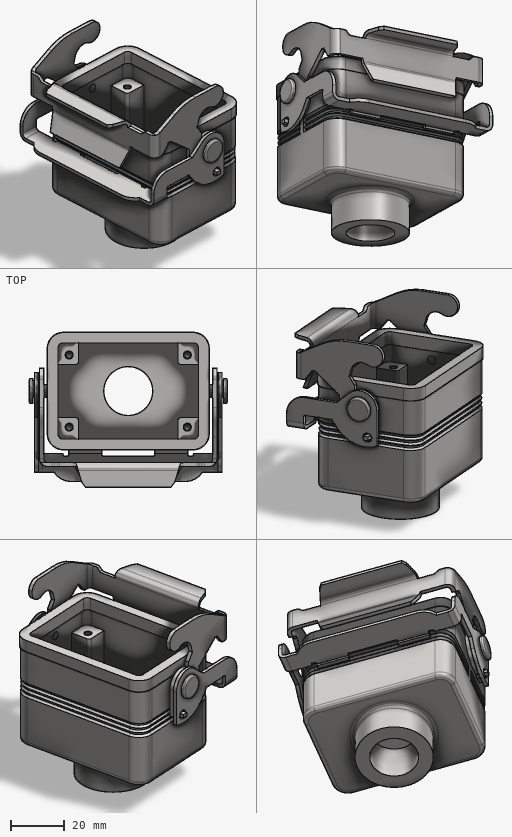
import cadquery as cq
import math


body_width = 60.1
body_depth = 43.5
body_corner_radius = 6.1
body_bottom = 13.0
body_top = 58.55
bottom_edge_radius = 1.9
rim_height = 5.0
rim_overhang = 0.2

groove_top = 40.0
groove_pitch = 2.0
groove_count = 3
groove_floor = 0.7
groove_depth = 1.05
ridge_inset = 0.15
groove_web_width = 2.8

mouth_width = 52.45
mouth_depth = 35.9
mouth_corner_radius = 1.85
mouth_height = 5.15
cavity_undercut = 0.8
floor_thickness = 3.0

neck_radius = 14.6
neck_fillet = 1.9
entry_radius = 9.1

post_top = 46.35
post_inner_x = 18.55
post_inner_y = 9.9
post_corner_radius = 1.2
screw_x = 22.05
screw_y = 13.5
screw_radius = 1.3
screw_depth = 8.95
screw_countersink = 0.2

pivot_z = 49.55
pin_radius = 2.45
pin_tail_radius = 1.65
head_radius = 4.7
head_thickness = 1.4
head_edge_radius = 0.7
lever_width = 74.0

sheet = 1.4
bend_outer_radius = 2.9
bend_inner_radius = bend_outer_radius - sheet

latch_outer_x = 33.15
latch_side_thickness = 1.65
latch_inner_x = latch_outer_x - latch_side_thickness
latch_front_y = -28.15
latch_back_y = latch_front_y + sheet
latch_crest = 74.5
latch_front_top = 66.75
latch_front_dip = 65.0
latch_front_bottom = 56.85
dip_half_width = 26.15
dip_top_half_width = 27.95
dip_corner_radius = 1.1

hook_radius = 4.25
hook_y = 4.3
hook_z = latch_crest - hook_radius
notch_radius = 4.8
notch_z = hook_z - math.sqrt((hook_radius + notch_radius) ** 2 - hook_y**2)
notch_exit_angle = math.radians(19)
heel_y = -5.4
heel_z = 60.9
heel_foot_z = 57.7
crest_end_y = -6.2
crest_radius = 23.2
crest_fall_angle = math.radians(28.5)
crest_foot_z = 67.4
throat_front_y = -23.8
throat_top_front_y = -20.6
throat_top_back_y = -19.45
throat_top_z = 60.9
throat_back_z = 52.9
lobe_radius = 9.4
lobe_centre_z = 47.5
lobe_back_radius = 6.3
lobe_back_edge_y = -3.05

tab_top = 68.1
tab_end_y = -36.0
tab_bend_radius = 3.0
tab_root_half_width = 19.6
tab_shoulder_half_width = 17.3
tab_shoulder_y = -34.2
tab_end_half_width = 15.95
grip_root_half_width = 20.5
grip_foot_half_width = 17.95
grip_corner_radius = 1.5
grip_kink_z = 54.9
grip_bottom_z = 47.4
grip_angle = math.radians(25.5)

bracket_outer_x = 35.0
bracket_inner_x = bracket_outer_x - sheet
bracket_head_radius = 7.0
arm_top = 50.4
arm_bottom = 43.5
arm_root_y = -9.8
arm_underside_root_y = -11.7
arm_front_y = -30.4
arm_back_y = -23.25
arm_knee_radius = 7.3
arm_crotch_radius = 0.6
skirt_front_y = -8.9
skirt_front_z = 39.7
skirt_lowest_y = 1.1
skirt_lowest_z = 34.8
skirt_back_z = 35.7
flange_bottom = 37.3
flange_top = flange_bottom + sheet
flange_lip_y = -33.8
lip_root_half_width = 27.65
lip_front_half_width = 21.15
lip_bulge_half_width = 24.8
lip_bulge_y = -32.9
flange_notch_depth = 1.05
catch_inner_x = 9.8
catch_outer_x = 22.3
catch_notch_width = 2.0
catch_tip_y = -21.8
catch_bottom = 36.35
catch_tip_top = 37.4

peg_y = 3.05
peg_z = 38.5
peg_width = 1.9
peg_height = 1.6
peg_end_x = 36.2
peg_hole_radius = 1.8


def centred_block(width, depth, bottom, top, corner_radius):
    """Upright block around the Z axis with rounded vertical edges."""
    block = cq.Workplane("XY").workplane(offset=bottom).rect(width, depth).extrude(top - bottom)
    return block.edges("|Z").fillet(corner_radius)


def body_section(z, inset):
    """Body outline at height z, moved inwards by inset."""
    width = body_width - 2 * inset
    depth = body_depth - 2 * inset
    sketch = cq.Sketch().rect(width, depth).vertices().fillet(body_corner_radius - inset)
    return sketch.moved(cq.Location(cq.Vector(0, 0, z)))


def x_cylinder(radius, start_x, end_x, y, z):
    """Round bar along X."""
    return cq.Workplane("YZ", origin=(start_x, y, z)).circle(radius).extrude(end_x - start_x)


def mirrored_pair(shape):
    """Shape together with its mirror image in the YZ plane."""
    return shape.union(shape.mirror("YZ"))


def box_between(x0, x1, y0, y1, z0, z1):
    """Box between two limits on each axis."""
    return cq.Workplane("XY", origin=(x0, y0, z0)).box(x1 - x0, y1 - y0, z1 - z0, centered=False)


def tapered_prism(plane, right_side, origin, height):
    """Prism whose outline is the given right side and its mirror image."""
    left_side = [(-x, v) for x, v in reversed(right_side)]
    return cq.Workplane(plane, origin=origin).polyline(right_side + left_side).close().extrude(height)


def grooved_band():
    """Rounded ring of stacked V grooves, with a plain web across them on each X side."""
    flank = (groove_pitch - groove_floor) / 2
    levels = []
    for i in range(groove_count):
        top = groove_top - i * groove_pitch
        upper_inset = 0 if i == 0 else ridge_inset
        lower_inset = 0 if i == groove_count - 1 else ridge_inset
        levels.append((top, upper_inset, top - flank, groove_depth))
        levels.append((top - flank, groove_depth, top - flank - groove_floor, groove_depth))
        levels.append((top - flank - groove_floor, groove_depth, top - groove_pitch, lower_inset))
    band = cq.Workplane("XY")
    for z_high, inset_high, z_low, inset_low in levels:
        low = body_section(z_low, inset_low)
        high = body_section(z_high, inset_high)
        band = band.union(cq.Workplane("XY").placeSketch(low, high).loft(ruled=True))
    half = body_width / 2
    web_half = groove_web_width / 2
    web = box_between(-half, half, -web_half, web_half, groove_top - groove_count * groove_pitch, groove_top)
    return band.union(web)


def neck():
    """Cable-entry neck that flares into the bottom of the body."""
    flare_start = body_bottom - neck_fillet
    flare_radius = neck_radius + neck_fillet
    mid = neck_fillet * (1 - math.sqrt(0.5))
    return (
        cq.Workplane("XZ")
        .moveTo(0, 0)
        .lineTo(neck_radius, 0)
        .lineTo(neck_radius, flare_start)
        .threePointArc((neck_radius + mid, body_bottom - mid), (flare_radius, body_bottom))
        .lineTo(0, body_bottom)
        .close()
        .revolve(360, (0, 0, 0), (0, 1, 0))
    )


def cavity():
    """Mouth through the rim, a wider chamber below it, less the four corner posts."""
    mouth_bottom = body_top - mouth_height
    floor_z = body_bottom + floor_thickness
    mouth = centred_block(mouth_width, mouth_depth, mouth_bottom, body_top, mouth_corner_radius)
    chamber = centred_block(
        mouth_width + 2 * cavity_undercut,
        mouth_depth + 2 * cavity_undercut,
        floor_z,
        mouth_bottom,
        mouth_corner_radius + cavity_undercut,
    )
    hollow = mouth.union(chamber)
    for side_x in (-1, 1):
        for side_y in (-1, 1):
            hollow = hollow.cut(corner_post(side_x, side_y, floor_z))
    return hollow


def corner_post(side_x, side_y, floor_z):
    """Post that stands in one corner of the chamber."""
    width = body_width / 2 - post_inner_x
    depth = body_depth / 2 - post_inner_y
    centre = (side_x * (post_inner_x + width / 2), side_y * (post_inner_y + depth / 2), floor_z)
    post = cq.Workplane("XY", origin=centre).rect(width, depth).extrude(post_top - floor_z)
    return post.edges("|Z").fillet(post_corner_radius)


def screw_holes():
    """Blind pointed holes down the posts, with a small countersink."""
    lip = screw_radius + screw_countersink
    points = [(side_x * screw_x, side_y * screw_y) for side_x in (-1, 1) for side_y in (-1, 1)]
    drill = (
        cq.Workplane("XZ")
        .polyline(
            [
                (0, 0),
                (lip, 0),
                (screw_radius, -screw_countersink),
                (screw_radius, -screw_depth),
                (0, -screw_depth - screw_radius),
            ]
        )
        .close()
        .revolve(360, (0, 0, 0), (0, 1, 0))
    )
    holes = cq.Workplane("XY")
    for x, y in points:
        holes = holes.union(drill.translate((x, y, post_top)))
    return holes


def make_housing():
    """Hollow grooved body with its rim, posts and cable-entry neck."""
    groove_bottom = groove_top - groove_count * groove_pitch
    lower = centred_block(body_width, body_depth, body_bottom, groove_bottom, body_corner_radius)
    lower = lower.faces("<Z").edges().fillet(bottom_edge_radius)
    upper = centred_block(body_width, body_depth, groove_top, body_top, body_corner_radius)
    rim = centred_block(
        body_width + 2 * rim_overhang,
        body_depth + 2 * rim_overhang,
        body_top - rim_height,
        body_top,
        body_corner_radius,
    )
    shell = lower.union(grooved_band()).union(upper).union(rim).union(neck())
    entry = cq.Workplane("XY").circle(entry_radius).extrude(body_top)
    pin_holes = x_cylinder(pin_tail_radius, -body_width / 2, body_width / 2, 0, pivot_z)
    return shell.cut(cavity()).cut(screw_holes()).cut(entry).cut(pin_holes)


def latch_side_outline():
    """Side outline of the latch, extruded across the whole width."""
    hook_to_notch = math.atan2(notch_z - hook_z, -hook_y)
    join_y = hook_y + hook_radius * math.cos(hook_to_notch)
    join_z = hook_z + hook_radius * math.sin(hook_to_notch)
    notch_exit = (
        -notch_radius * math.cos(notch_exit_angle),
        notch_z + notch_radius * math.sin(notch_exit_angle),
    )
    fall_y = crest_end_y - crest_radius * math.sin(crest_fall_angle)
    fall_z = latch_crest - crest_radius * (1 - math.cos(crest_fall_angle))
    half_fall = crest_fall_angle / 2
    crest_mid = (
        crest_end_y - crest_radius * math.sin(half_fall),
        latch_crest - crest_radius * (1 - math.cos(half_fall)),
    )
    lobe_diagonal = lobe_radius * math.sqrt(0.5)
    back_meet_z = pivot_z + math.sqrt(lobe_back_radius**2 - lobe_back_edge_y**2)
    back_diagonal = lobe_back_radius * math.sqrt(0.5)
    return (
        cq.Workplane("YZ", origin=(-latch_outer_x, 0, 0))
        .moveTo(hook_y, latch_crest)
        .lineTo(crest_end_y, latch_crest)
        .threePointArc(crest_mid, (fall_y, fall_z))
        .lineTo(latch_front_y + bend_outer_radius, crest_foot_z)
        .lineTo(latch_back_y, latch_front_top)
        .lineTo(latch_front_y, latch_front_top)
        .lineTo(latch_front_y, latch_front_bottom)
        .lineTo(throat_front_y, latch_front_bottom)
        .lineTo(throat_top_front_y, throat_top_z)
        .lineTo(throat_top_back_y, throat_top_z)
        .lineTo(-lobe_radius, throat_back_z)
        .lineTo(-lobe_radius, lobe_centre_z)
        .threePointArc((-lobe_diagonal, lobe_centre_z - lobe_diagonal), (0, lobe_centre_z - lobe_radius))
        .lineTo(lobe_back_radius, lobe_centre_z - lobe_radius)
        .lineTo(lobe_back_radius, pivot_z)
        .threePointArc((back_diagonal, pivot_z + back_diagonal), (lobe_back_edge_y, back_meet_z))
        .lineTo(lobe_back_edge_y, heel_foot_z)
        .lineTo(heel_y, heel_z)
        .lineTo(*notch_exit)
        .threePointArc((0, notch_z + notch_radius), (join_y, join_z))
        .threePointArc((hook_y + hook_radius, hook_z), (hook_y, latch_crest))
        .close()
        .extrude(2 * latch_outer_x)
    )


def latch_frame():
    """Bent strip: two side plates joined by the front plate, trimmed to the side outline."""
    back_y = hook_y + 2 * hook_radius
    bottom = lobe_centre_z - lobe_radius
    outer = box_between(-latch_outer_x, latch_outer_x, latch_front_y, back_y, bottom, latch_crest)
    inner = box_between(-latch_inner_x, latch_inner_x, latch_back_y, back_y, bottom, latch_crest)
    outer = outer.edges("|Z and <Y").fillet(bend_outer_radius)
    inner = inner.edges("|Z and <Y").fillet(bend_inner_radius)
    dip = (
        cq.Workplane("XZ", origin=(0, latch_front_y, 0))
        .polyline(
            [
                (-dip_half_width, latch_front_dip),
                (dip_half_width, latch_front_dip),
                (dip_top_half_width, latch_front_top),
                (-dip_top_half_width, latch_front_top),
            ]
        )
        .close()
        .extrude(-sheet)
    )
    frame = outer.cut(inner).intersect(latch_side_outline()).cut(dip)
    dip_corners = cq.selectors.BoxSelector(
        (-latch_inner_x + bend_inner_radius, latch_front_y, latch_front_dip - sheet),
        (latch_inner_x - bend_inner_radius, latch_back_y, latch_front_top + sheet),
    )
    return frame.edges("|Y").edges(dip_corners).fillet(dip_corner_radius)


def latch_tab():
    """Thumb tab bent forwards from the top of the front plate."""
    inner_bend = tab_bend_radius - sheet
    bend_y = latch_back_y - tab_bend_radius
    bend_z = tab_top - tab_bend_radius
    outer_mid = tab_bend_radius * math.sqrt(0.5)
    inner_mid = inner_bend * math.sqrt(0.5)
    strip = (
        cq.Workplane("YZ", origin=(-tab_root_half_width, 0, 0))
        .moveTo(latch_back_y, latch_front_dip)
        .lineTo(latch_back_y, bend_z)
        .threePointArc((bend_y + outer_mid, bend_z + outer_mid), (bend_y, tab_top))
        .lineTo(tab_end_y, tab_top)
        .lineTo(tab_end_y, tab_top - sheet)
        .lineTo(bend_y, tab_top - sheet)
        .threePointArc((bend_y + inner_mid, bend_z + inner_mid), (latch_front_y, bend_z))
        .lineTo(latch_front_y, latch_front_dip)
        .close()
        .extrude(2 * tab_root_half_width)
    )
    right_side = [
        (tab_root_half_width, latch_back_y),
        (tab_shoulder_half_width, tab_shoulder_y),
        (tab_end_half_width, tab_end_y),
    ]
    height = tab_top - latch_front_dip
    return strip.intersect(tapered_prism("XY", right_side, (0, 0, latch_front_dip), height))


def latch_grip():
    """Tapered grip that hangs from the front plate and kinks forwards."""
    reach = (grip_kink_z - grip_bottom_z) * math.tan(grip_angle)
    foot_y = latch_back_y - reach
    rise = sheet * math.sin(grip_angle)
    run = sheet * math.cos(grip_angle)
    inner_kink_z = grip_kink_z + sheet * math.tan(grip_angle / 2)
    width = 2 * grip_root_half_width
    strip = (
        cq.Workplane("YZ", origin=(-grip_root_half_width, 0, 0))
        .polyline(
            [
                (latch_back_y, latch_front_bottom),
                (latch_back_y, grip_kink_z),
                (foot_y, grip_bottom_z),
                (foot_y - run, grip_bottom_z + rise),
                (latch_front_y, inner_kink_z),
                (latch_front_y, latch_front_bottom),
            ]
        )
        .close()
        .extrude(width)
    )
    strip = strip.edges(cq.selectors.NearestToPointSelector((0, latch_back_y, grip_kink_z)))
    strip = strip.fillet(bend_outer_radius)
    strip = strip.edges(cq.selectors.NearestToPointSelector((0, latch_front_y, inner_kink_z)))
    strip = strip.fillet(bend_inner_radius)
    right_side = [(grip_root_half_width, latch_front_bottom), (grip_foot_half_width, grip_bottom_z)]
    outline = tapered_prism("XZ", right_side, (0, latch_back_y, 0), width)
    return strip.intersect(outline.edges("|Y and <Z").fillet(grip_corner_radius))


def bracket_side_plate():
    """Plate on the +X side: round head on the pivot, arm forwards, leg down to the bend."""
    corner_dz = arm_top - pivot_z
    to_corner = math.atan2(corner_dz, arm_root_y)
    touch_angle = to_corner - math.acos(bracket_head_radius / math.hypot(arm_root_y, corner_dz))
    touch_y = bracket_head_radius * math.cos(touch_angle)
    touch_z = pivot_z + bracket_head_radius * math.sin(touch_angle)
    head_mid = touch_angle / 2
    head_top = (bracket_head_radius * math.cos(head_mid), pivot_z + bracket_head_radius * math.sin(head_mid))
    leg_bottom = flange_bottom + bend_outer_radius
    knee_y = arm_front_y + arm_knee_radius
    knee_z = arm_top - arm_knee_radius
    knee_diagonal = arm_knee_radius * math.sqrt(0.5)
    crotch_mid = arm_crotch_radius * (1 - math.sqrt(0.5))
    plate = (
        cq.Workplane("YZ", origin=(bracket_inner_x, 0, 0))
        .moveTo(bracket_head_radius, pivot_z)
        .threePointArc(head_top, (touch_y, touch_z))
        .lineTo(arm_root_y, arm_top)
        .lineTo(knee_y, arm_top)
        .threePointArc((knee_y - knee_diagonal, knee_z + knee_diagonal), (arm_front_y, knee_z))
        .lineTo(arm_front_y, leg_bottom)
        .lineTo(arm_back_y, leg_bottom)
        .lineTo(arm_back_y, arm_bottom - arm_crotch_radius)
        .threePointArc(
            (arm_back_y + crotch_mid, arm_bottom - crotch_mid),
            (arm_back_y + arm_crotch_radius, arm_bottom),
        )
        .lineTo(arm_underside_root_y, arm_bottom)
        .lineTo(skirt_front_y, skirt_front_z)
        .threePointArc((skirt_lowest_y, skirt_lowest_z), (bracket_head_radius, skirt_back_z))
        .close()
        .extrude(sheet)
    )
    hole = x_cylinder(peg_hole_radius, bracket_inner_x, bracket_outer_x, peg_y, peg_z)
    return plate.cut(hole)


def bracket_channel():
    """Cross plate with a bend up to each side plate."""
    top = arm_bottom - arm_crotch_radius
    outer = box_between(-bracket_outer_x, bracket_outer_x, arm_front_y, arm_back_y, flange_bottom, top)
    inner = box_between(-bracket_inner_x, bracket_inner_x, arm_front_y, arm_back_y, flange_top, top)
    outer = outer.edges("|Y and <Z").fillet(bend_outer_radius)
    inner = inner.edges("|Y and <Z").fillet(bend_inner_radius)
    return outer.cut(inner)


def flange_lip():
    """Finger lip in front of the cross plate, with curved ends."""
    return (
        cq.Workplane("XY", origin=(0, 0, flange_bottom))
        .moveTo(-lip_root_half_width, arm_front_y)
        .threePointArc((-lip_bulge_half_width, lip_bulge_y), (-lip_front_half_width, flange_lip_y))
        .lineTo(lip_front_half_width, flange_lip_y)
        .threePointArc((lip_bulge_half_width, lip_bulge_y), (lip_root_half_width, arm_front_y))
        .close()
        .extrude(sheet)
    )


def flange_notches():
    """Recess between the two catches and a relief slot outside each."""
    front_y = arm_back_y - flange_notch_depth
    recess = box_between(-catch_inner_x, catch_inner_x, front_y, arm_back_y, flange_bottom, flange_top)
    relief = box_between(
        catch_outer_x, catch_outer_x + catch_notch_width, front_y, arm_back_y, flange_bottom, flange_top
    )
    corner = flange_notch_depth / 2
    recess = recess.edges("|Z and <Y").fillet(corner)
    relief = relief.edges("|Z and <Y").fillet(corner)
    return recess.union(mirrored_pair(relief))


def catch():
    """Catch on the +X half, bent down from the back edge of the cross plate."""
    return (
        cq.Workplane("YZ", origin=(catch_inner_x, 0, 0))
        .polyline(
            [
                (arm_back_y, flange_top),
                (catch_tip_y, catch_tip_top),
                (catch_tip_y, catch_bottom),
                (arm_back_y, catch_bottom),
            ]
        )
        .close()
        .extrude(catch_outer_x - catch_inner_x)
    )


def pivot_pin():
    """Headed pin on the +X side, with a thinner tail through the housing wall."""
    wall_outer = body_width / 2
    wall_inner = mouth_width / 2 + cavity_undercut
    head_outer = lever_width / 2
    head_inner = head_outer - head_thickness
    head = x_cylinder(head_radius, head_inner, head_outer, 0, pivot_z)
    head = head.faces(">X").edges().fillet(head_edge_radius)
    shank = x_cylinder(pin_radius, wall_outer, head_inner, 0, pivot_z)
    tail = x_cylinder(pin_tail_radius, wall_inner, wall_outer, 0, pivot_z)
    return head.union(shank).union(tail)


def peg():
    """Square peg from the latch side plate out through the hole in the bracket."""
    y0 = peg_y - peg_width / 2
    z0 = peg_z - peg_height / 2
    return box_between(latch_inner_x, peg_end_x, y0, y0 + peg_width, z0, z0 + peg_height)


def make_lever():
    """Latch and bracket joined by the two pivot pins."""
    latch = latch_frame().union(latch_tab()).union(latch_grip())
    bracket = bracket_channel().union(mirrored_pair(bracket_side_plate())).union(flange_lip())
    bracket = bracket.cut(flange_notches()).union(mirrored_pair(catch()))
    return latch.union(bracket).union(mirrored_pair(pivot_pin())).union(mirrored_pair(peg()))


housing = make_housing()
lever = make_lever()

result = cq.Compound.makeCompound([housing.val(), lever.val()])